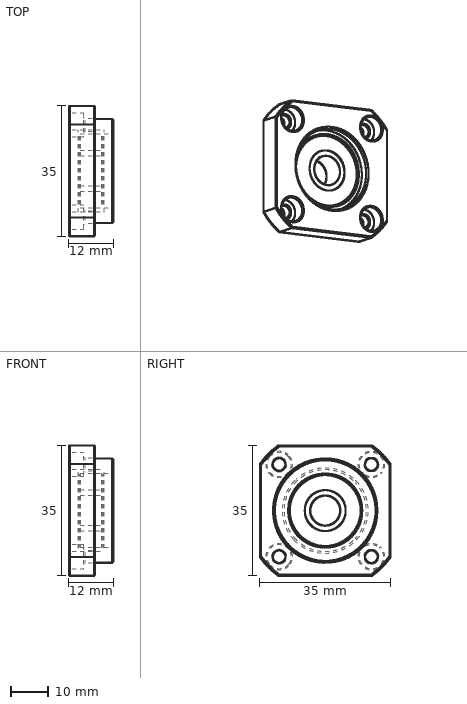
import cadquery as cq
import math


flange_side = 35.0
flange_thickness = 7.0
flange_corner_diameter = 43.0
flange_chamfer = 0.3
boss_diameter = 28.0
housing_length = 12.0
boss_chamfer = 0.5

seat_diameter = 22.0
seat_chamfer = 0.5
bearing_depth = 2.5

bolt_circle_diameter = 35.0
bolt_diameter = 3.4
counterbore_diameter = 6.5
counterbore_depth = 4.0
bolt_chamfer = 0.3

bearing_width = 7.0
outer_ring_round = 0.3
outer_ring_inner_radius = 9.95
inner_ring_outer_radius = 5.5
inner_ring_round = 0.25
shaft_bore_diameter = 8.0

shield_thickness = 0.7
bead_radius = 0.2
shoulder_round = 0.42

bearing_back = bearing_depth + bearing_width


def disc(radius, start, length):
    """Cylinder along X from X = start."""
    return cq.Workplane("YZ", origin=(start, 0, 0)).circle(radius).extrude(length)


def flared_hole(radius, start, length, chamfer):
    """Cutter along X whose opening at X = start is chamfered."""
    hole = disc(radius, start, length)
    flare = cq.Solid.makeCone(
        radius + chamfer, radius, chamfer, cq.Vector(start, 0, 0), cq.Vector(1, 0, 0)
    )
    return hole.union(cq.Workplane(obj=flare))


def make_flange():
    """Square plate with corners cut to a circle and both faces chamfered."""
    square = cq.Workplane("YZ").rect(flange_side, flange_side).extrude(flange_thickness)
    plate = square.intersect(disc(flange_corner_diameter / 2, 0, flange_thickness))
    return plate.faces("<X or >X").chamfer(flange_chamfer)


def make_bolt_cutter():
    """Counterbored hole with chamfered counterbore mouth and hole mouth."""
    counterbore = flared_hole(counterbore_diameter / 2, 0, counterbore_depth, bolt_chamfer)
    through_length = flange_thickness - counterbore_depth
    bolt = flared_hole(bolt_diameter / 2, counterbore_depth, through_length, bolt_chamfer)
    return counterbore.union(bolt)


def make_housing():
    boss = disc(boss_diameter / 2, 0, housing_length).faces(">X").chamfer(boss_chamfer)
    housing = make_flange().union(boss)
    housing = housing.cut(flared_hole(seat_diameter / 2, 0, bearing_back, seat_chamfer))
    back_opening_length = housing_length - bearing_back
    housing = housing.cut(disc(outer_ring_inner_radius, bearing_back, back_opening_length))
    bolt_cutter = make_bolt_cutter()
    bolt_offset = bolt_circle_diameter / 2 * math.sqrt(0.5)
    for y_side in (-1, 1):
        for z_side in (-1, 1):
            place = (0, y_side * bolt_offset, z_side * bolt_offset)
            housing = housing.cut(bolt_cutter.translate(place))
    return housing


def make_outer_ring():
    body = disc(seat_diameter / 2, bearing_depth, bearing_width)
    body = body.faces("<X or >X").edges().fillet(outer_ring_round)
    return body.cut(disc(outer_ring_inner_radius, bearing_depth, bearing_width))


def make_inner_ring():
    body = disc(inner_ring_outer_radius, bearing_depth, bearing_width)
    body = body.faces("<X or >X").edges().fillet(inner_ring_round)
    return body.cut(disc(shaft_bore_diameter / 2, bearing_depth, bearing_width))


def make_front_shield():
    """Shield revolved about X; its flat face is flush with the bearing's front face."""
    rim_radius = outer_ring_inner_radius
    bead_center = rim_radius - bead_radius
    valley_radius = rim_radius - 2 * bead_radius
    face_radius = valley_radius - shoulder_round
    front = bearing_depth
    valley = front + shoulder_round
    back = front + shield_thickness
    shoulder_sag = shoulder_round * (1 - math.sqrt(0.5))
    profile = (
        cq.Workplane("XY")
        .moveTo(back, inner_ring_outer_radius)
        .lineTo(front, inner_ring_outer_radius)
        .lineTo(front, face_radius)
        .threePointArc((front + shoulder_sag, valley_radius - shoulder_sag), (valley, valley_radius))
        .threePointArc((valley - bead_radius, bead_center), (valley, rim_radius))
        .lineTo(back, rim_radius)
        .close()
    )
    return profile.revolve(360, (0, 0, 0), (1, 0, 0))


def make_shields():
    """The same shield closes both ends of the bearing, the back one turned half round."""
    middle = bearing_depth + bearing_width / 2
    return [
        make_front_shield().rotate((middle, 0, 0), (middle, 0, 1), turn).val()
        for turn in (0, 180)
    ]


housing = make_housing()
outer_ring = make_outer_ring()
inner_ring = make_inner_ring()
shields = make_shields()

result = cq.Compound.makeCompound([housing.val(), outer_ring.val(), inner_ring.val(), *shields])